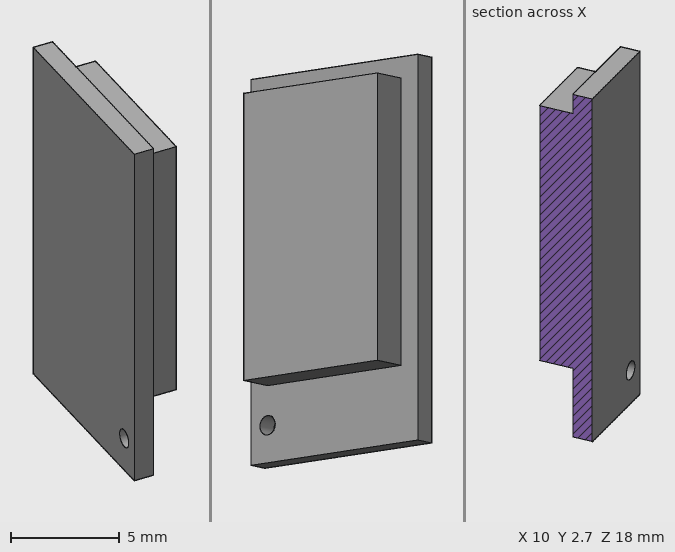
import cadquery as cq

board_width = 10.0
board_height = 18.0
board_thickness = 1.0

overall_depth = 2.7
block_margin = 1.0
block_width = board_width - 2 * block_margin
block_depth = overall_depth - board_thickness
block_height = 13.4

hole_diameter = 0.9
hole_from_side = 1.0
hole_from_bottom = 1.75


def make_board():
    return cq.Workplane("XY").box(board_width, board_thickness, board_height, centered=(True, False, False))


def make_block():
    block_bottom = board_height - block_margin - block_height
    return (
        cq.Workplane("XY")
        .box(block_width, block_depth, block_height, centered=(True, False, False))
        .translate((0, board_thickness, block_bottom))
    )


def make_hole():
    hole_x = board_width / 2 - hole_from_side
    return (
        cq.Workplane("XZ")
        .center(hole_x, hole_from_bottom)
        .circle(hole_diameter / 2)
        .extrude(-board_thickness)
    )


result = make_board().union(make_block()).cut(make_hole())